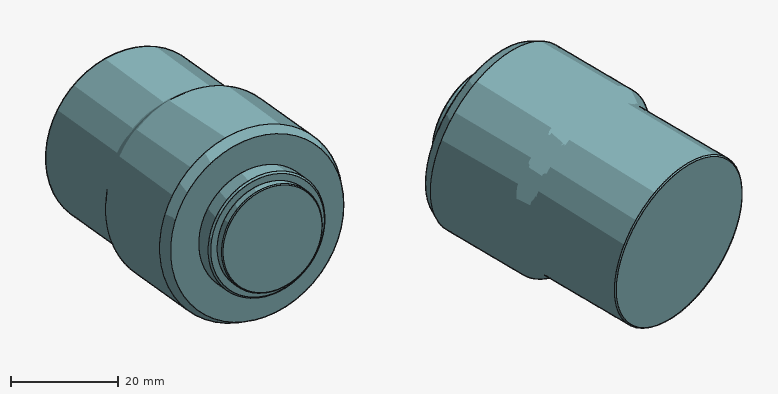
import cadquery as cq

total_length = 51.7

body_radius = 18.05
collar_radius = 20.0
boss_radius = 12.75
tip_radius = 11.0

shoulder_start = 21.95
shoulder_end = 24.8
collar_end = 46.25
boss_end = 49.95

body_chamfer = 0.25
shoulder_blend_radius = 1.0
collar_chamfer_length = 2.15
collar_chamfer_depth = 1.1
boss_chamfer = 0.35
tip_chamfer = 0.2


def cylinder(start, end, radius):
    """Solid cylinder along X between two axial positions."""
    return cq.Workplane("YZ", origin=(start, 0, 0)).circle(radius).extrude(end - start)


def body_and_collar():
    """Body that widens through a conical shoulder into the collar."""
    profile = (
        cq.Workplane("XY")
        .lineTo(0, body_radius - body_chamfer)
        .lineTo(body_chamfer, body_radius)
        .lineTo(shoulder_start, body_radius)
        .lineTo(shoulder_end, collar_radius)
        .lineTo(collar_end - collar_chamfer_length, collar_radius)
        .lineTo(collar_end, collar_radius - collar_chamfer_depth)
        .lineTo(collar_end, 0)
        .close()
    )
    turned = profile.revolve(360, (0, 0, 0), (1, 0, 0))
    middle = (shoulder_start + shoulder_end) / 2
    reach = shoulder_end - shoulder_start
    shoulder_edges = cq.selectors.BoxSelector(
        (middle - reach, -total_length, -total_length),
        (middle + reach, total_length, total_length),
        boundingbox=True,
    )
    return turned.edges(shoulder_edges).fillet(shoulder_blend_radius)


boss = cylinder(collar_end, boss_end, boss_radius).faces(">X").chamfer(boss_chamfer)
tip = cylinder(boss_end, total_length, tip_radius).faces(">X").chamfer(tip_chamfer)

result = body_and_collar().union(boss).union(tip)